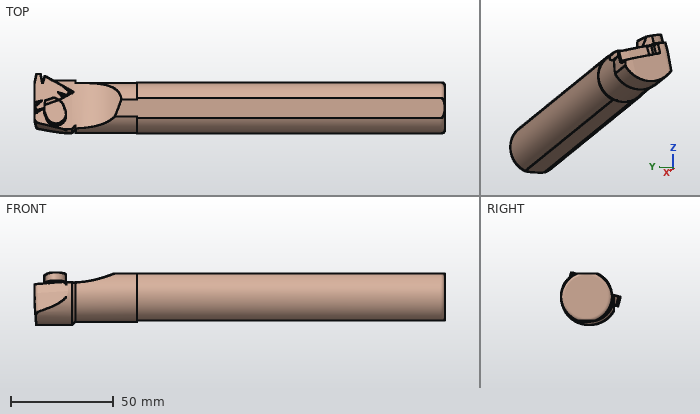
import cadquery as cq
import math

total_length = 200.0
shank_radius = 12.5
shank_start = 50.0
shank_end_fillet = 2.0
flat_height = 11.5
neck_radius = 12.25

head_length = 20.0
head_radius = 13.75
head_center_y = 1.4
head_chamfer = 1.75
head_side_y = 13.4

tip_y = 16.61
plane_tilt = 15.0
tilt_radians = math.radians(plane_tilt)

relief_start = -5.4
relief_slope = 0.2
side_start = -24.3
side_slope = 0.25
front_corner_radius = 2.5
head_depth = 30.0
clearance_angle = 4.0

flute_start = 18.5
flute_radius = 40.0

inscribed_diameter = 12.7
insert_thickness = 4.76
ideal_corner = 1.9
tooth_start = 0.9
tooth_end = 3.0
tooth_root = -4.4
notch_x = 3.9
notch_depth = 4.6
notch_end = 5.0

clamp_x = 10.5
clamp_y = -21.5
clamp_turn = 20.0
clamp_height = 5.35
clamp_radius = 4.9
clamp_flank = 3.5
clamp_slope_start = 6.0
clamp_nose = 9.3
clamp_nose_half_width = 2.3
clamp_nose_height = 0.3
clamp_gap = 1.3
clamp_toe_start = 3.0
clamp_toe_contact = 7.5
clamp_stem_radius = 3.5

CLEAR = 60.0

incircle = inscribed_diameter / 2
half_side = incircle * math.sqrt(3)
insert_center_y = ideal_corner - half_side


def insert_plane(height=0.0):
    """Workplane parallel to the insert's top face, raised by the given height."""
    normal = (0, math.sin(tilt_radians), math.cos(tilt_radians))
    plane = cq.Plane(origin=(0, tip_y, 0), xDir=(1, 0, 0), normal=normal)
    return cq.Workplane(plane).workplane(offset=height)


def rod(radius, start, end, center_y=0.0):
    return cq.Workplane("YZ", origin=(start, center_y, 0)).circle(radius).extrude(end - start)


def flat_cutter(start, side):
    """Removes everything beyond a flat above (side = 1) or below (side = -1) the axis."""
    length = total_length - start
    height = shank_radius
    return cq.Workplane("XY").box(length, CLEAR, height).translate(
        (start + length / 2, 0, side * (flat_height + height / 2)))


def make_shank():
    shank = rod(shank_radius, shank_start, total_length).faces(">X").edges().fillet(shank_end_fillet)
    neck = rod(neck_radius, head_length, shank_start)
    bar = neck.union(shank)
    return bar.cut(flat_cutter(0, 1)).cut(flat_cutter(shank_start, -1))


def head_outline(height):
    """Outline of the head, seen along the insert plane's normal; open towards the back and the +Y side."""
    side_angle = math.atan(side_slope)
    tangent_length = front_corner_radius * math.tan((math.pi / 2 - side_angle) / 2)
    arc_end = (
        tangent_length * math.cos(side_angle),
        side_start - tangent_length * math.sin(side_angle),
    )
    return (
        insert_plane(height)
        .moveTo(0, relief_start)
        .lineTo(0, side_start + tangent_length)
        .tangentArcPoint(arc_end, relative=False)
        .lineTo(CLEAR, side_start - side_slope * CLEAR)
        .lineTo(CLEAR, CLEAR)
        .lineTo(relief_slope * (CLEAR - relief_start), CLEAR)
        .close()
    )


def make_head():
    blank = rod(head_radius, 0, head_length, head_center_y).faces(">X").edges().chamfer(head_chamfer)
    side_limit = cq.Workplane("XY").box(CLEAR, CLEAR, CLEAR).translate((0, head_side_y - CLEAR / 2, 0))
    blank = blank.intersect(side_limit)
    upper = head_outline(-insert_thickness).extrude(CLEAR)
    lower = head_outline(-insert_thickness).extrude(-head_depth, taper=clearance_angle)
    return blank.intersect(upper.union(lower))


def make_flute():
    rise_end = flute_start + flute_radius
    return (
        insert_plane().transformed(rotate=(90, 0, 0))
        .moveTo(-CLEAR, 0)
        .lineTo(flute_start, 0)
        .radiusArc((rise_end, flute_radius), -flute_radius)
        .lineTo(-CLEAR, flute_radius)
        .close()
        .extrude(CLEAR, both=True)
    )


def make_clamp():
    base = insert_plane().center(clamp_x, clamp_y).transformed(rotate=(0, 0, clamp_turn))
    body = (
        base.moveTo(-clamp_radius, 0)
        .threePointArc((0, -clamp_radius), (clamp_radius, 0))
        .lineTo(clamp_radius, clamp_flank)
        .lineTo(clamp_nose_half_width, clamp_nose)
        .lineTo(-clamp_nose_half_width, clamp_nose)
        .lineTo(-clamp_radius, clamp_flank)
        .close()
        .extrude(clamp_height)
    )
    lengthwise = cq.Plane(origin=base.plane.origin, xDir=base.plane.yDir, normal=base.plane.xDir)
    side_profile = (
        cq.Workplane(lengthwise)
        .moveTo(-clamp_radius, clamp_gap)
        .lineTo(clamp_toe_start, clamp_gap)
        .lineTo(clamp_toe_contact, 0)
        .lineTo(clamp_nose, 0)
        .lineTo(clamp_nose, clamp_nose_height)
        .lineTo(clamp_slope_start, clamp_height)
        .lineTo(-clamp_radius, clamp_height)
        .close()
        .extrude(clamp_radius, both=True)
    )
    stem = base.circle(clamp_stem_radius).extrude(clamp_height)
    return body.intersect(side_profile).union(stem)


def insert_outline():
    """Triangle whose three corners each carry a flat-topped tooth beside a V-notch."""
    notch_end_y = ideal_corner - notch_end / math.sqrt(3)
    corner = [
        (0, tooth_root),
        (tooth_start, 0),
        (tooth_end, 0),
        (notch_x, -notch_depth),
        (notch_end, notch_end_y),
    ]
    points = []
    for index in range(3):
        turn = -index * 2 * math.pi / 3
        for x, y in corner:
            dx = x - incircle
            dy = y - insert_center_y
            turned_x = incircle + dx * math.cos(turn) - dy * math.sin(turn)
            turned_y = insert_center_y + dx * math.sin(turn) + dy * math.cos(turn)
            points.append((turned_x, turned_y))
    return points


def make_insert():
    return insert_plane().polyline(insert_outline()).close().extrude(-insert_thickness)


def make_pocket():
    """Sharp-cornered triangle that the insert's three sides fit into."""
    triangle = [
        (0, ideal_corner),
        (3 * incircle, insert_center_y),
        (0, ideal_corner - 2 * half_side),
    ]
    return insert_plane().polyline(triangle).close().extrude(-insert_thickness)


insert = make_insert()
holder = make_shank().union(make_head()).cut(make_flute()).cut(make_pocket()).union(make_clamp())

result = cq.Compound.makeCompound([holder.solids().val(), insert.val()])